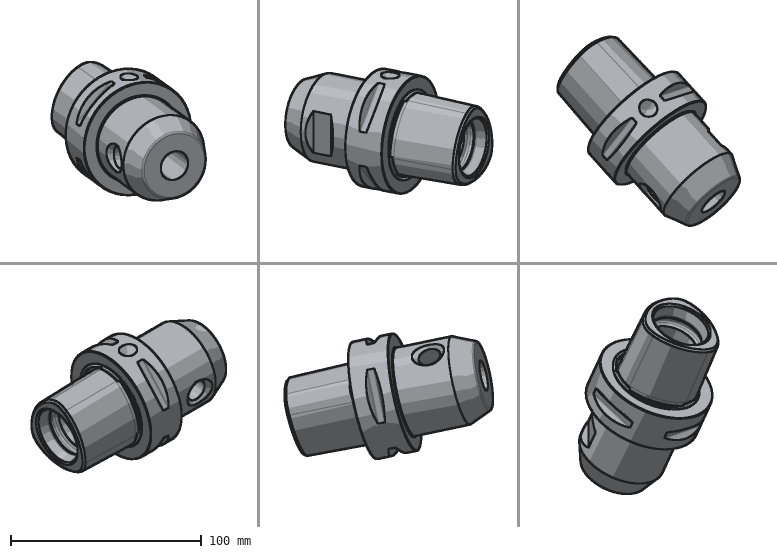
import math

import cadquery as cq


shank_length = 38.0
gauge_radius = 22.0
lobe_height = 1.5
radius_taper = 1 / 40
straight_length = 2.2
end_chamfer_length = 1.3
end_chamfer_depth = 1.0
lobe_half_angle = 27.4
lobe_count = 3
face_samples = 8
relief_radius = 22.5
relief_length = 1.1

flange_radius = 31.5
flange_width = 22.0
flange_chamfer = 0.3
face_groove_outer_radius = 24.3

groove_x = 12.0
groove_floor_distance = 28.0
groove_floor_width = 3.8
groove_flank_angle = 30.0
groove_corner_radius = 0.5
groove_angles = (45, 135, 225, 315)
dimple_radius = 4.95

nose_radius = 23.75
nose_length = 65.0
nose_cone_length = 12.4
nose_cone_angle = 23.0
nose_tip_round = 1.2
nose_root_step = 0.5

screw_x = 41.5
screw_hole_radius = 5.92
countersink_radius = 8.8
countersink_angle = 45.0
flat_floor_y = 20.65
flat_floor_length = 10.4

tool_bore_radius = 8.0
thread_bore_radius = 8.92
thread_chamfer = 0.98
thread_bore_length = 10.0
mouth_radius = 16.4
mouth_chamfer_length = 0.9
entry_radius = 15.35
clamp_lip_radius = 14.0
clamp_lip_start = 6.3
clamp_groove_radius = 16.0
clamp_lip_end = 7.4
clamp_lip_relief = 0.2
clamp_groove_start = 8.0
clamp_groove_end = 10.9
groove_round = 1.45
rear_cone_angle = 60.0
inner_bore_radius = 13.5
inner_bore_depth = 44.0


def revolve_x(outline):
    """Revolve a closed outline, drawn as (x, radius), about the X axis."""
    return outline.close().revolve(360, (0, 0, 0), (1, 0, 0))


def polygon_point(mean_radius, angle):
    """Point (y, z) of the polygon whose outward normal lies at an angle from +Z."""
    reach = mean_radius + lobe_height * math.cos(lobe_count * angle)
    slope = -lobe_count * lobe_height * math.sin(lobe_count * angle)
    y = reach * math.sin(angle) + slope * math.cos(angle)
    z = reach * math.cos(angle) - slope * math.sin(angle)
    return y, z


def polygon_face_edge(x, mean_radius, start, end):
    """Edge of one lobe or flank in the plane at x, between two normal directions in degrees."""
    points = []
    for i in range(face_samples + 1):
        angle = math.radians(start + (end - start) * i / face_samples)
        y, z = polygon_point(mean_radius, angle)
        points.append(cq.Vector(x, y, z))
    return cq.Edge.makeSpline(points)


def polygon_wire(x, mean_radius):
    pitch = 360 / lobe_count
    edges = []
    for i in range(lobe_count):
        middle = i * pitch
        lobe_end = middle + lobe_half_angle
        flank_end = middle + pitch - lobe_half_angle
        edges.append(polygon_face_edge(x, mean_radius, middle - lobe_half_angle, lobe_end))
        edges.append(polygon_face_edge(x, mean_radius, lobe_end, flank_end))
    return cq.Wire.assembleEdges(edges)


def polygon_frustum(x_start, radius_start, x_end, radius_end):
    wires = [polygon_wire(x_start, radius_start), polygon_wire(x_end, radius_end)]
    return cq.Workplane(cq.Solid.makeLoft(wires, True))


def make_shank():
    taper_start = end_chamfer_length - shank_length
    small_radius = gauge_radius + (taper_start + straight_length) * radius_taper
    tip_radius = small_radius - end_chamfer_depth
    tip = polygon_frustum(-shank_length, tip_radius, taper_start, small_radius)
    taper = polygon_frustum(taper_start, small_radius, -straight_length, gauge_radius)
    root = polygon_frustum(-straight_length, gauge_radius, flange_width / 2, gauge_radius)
    envelope_radius = relief_radius + straight_length - relief_length
    envelope = revolve_x(
        cq.Workplane("XY")
        .moveTo(-straight_length, 0)
        .lineTo(-straight_length, envelope_radius)
        .lineTo(-relief_length, relief_radius)
        .lineTo(flange_width / 2, relief_radius)
        .lineTo(flange_width / 2, 0)
    )
    return tip.union(taper).union(root.intersect(envelope))


def make_flange():
    flange = (
        cq.Workplane("YZ")
        .circle(flange_radius)
        .extrude(flange_width)
        .faces("<X or >X")
        .chamfer(flange_chamfer)
    )
    groove_depth = (face_groove_outer_radius - relief_radius) / 2
    groove = revolve_x(
        cq.Workplane("XY")
        .moveTo(0, relief_radius)
        .threePointArc((groove_depth, relief_radius + groove_depth), (0, face_groove_outer_radius))
    )
    return flange.cut(groove)


def make_nose():
    cone_start = nose_length - nose_cone_length
    tip_radius = nose_radius - nose_cone_length * math.tan(math.radians(nose_cone_angle))
    root_radius = nose_radius + nose_root_step
    nose = revolve_x(
        cq.Workplane("XY")
        .moveTo(flange_width / 2, 0)
        .lineTo(flange_width / 2, root_radius)
        .lineTo(flange_width, root_radius)
        .lineTo(flange_width + nose_root_step, nose_radius)
        .lineTo(cone_start, nose_radius)
        .lineTo(nose_length, tip_radius)
        .lineTo(nose_length, 0)
    )
    return nose.faces(">X").edges().fillet(nose_tip_round)


def gripper_groove(angle):
    """Straight trapezoidal groove across the flange rim, turned about X from +Z."""
    height = flange_radius - groove_floor_distance
    floor_half = groove_floor_width / 2
    mouth_half = floor_half + height * math.tan(math.radians(groove_flank_angle))
    groove = (
        cq.Workplane("XZ")
        .polyline(
            [
                (groove_x - floor_half, groove_floor_distance),
                (groove_x + floor_half, groove_floor_distance),
                (groove_x + mouth_half, flange_radius),
                (groove_x - mouth_half, flange_radius),
            ]
        )
        .close()
        .extrude(flange_radius, both=True)
        .faces("<Z")
        .edges("|Y")
        .fillet(groove_corner_radius)
    )
    return groove.rotate((0, 0, 0), (1, 0, 0), angle)


def orientation_dimple():
    """Right-angled conical dimple in the top of the flange rim."""
    depth = dimple_radius
    tip = cq.Vector(groove_x, 0, flange_radius - depth)
    cone = cq.Solid.makeCone(0, dimple_radius, depth, tip, cq.Vector(0, 0, 1))
    return cq.Workplane(cone)


def screw_hole():
    """Radial hole from the -Y side into the tool bore, countersunk at the nose surface."""
    surface = cq.Vector(screw_x, -nose_radius, 0)
    inward = cq.Vector(0, 1, 0)
    hole = cq.Solid.makeCylinder(screw_hole_radius, nose_radius, surface, inward)
    sink_depth = (countersink_radius - screw_hole_radius) / math.tan(math.radians(countersink_angle))
    sink = cq.Solid.makeCone(countersink_radius, screw_hole_radius, sink_depth, surface, inward)
    return cq.Workplane(hole).union(cq.Workplane(sink))


def nose_flat():
    """Flat with sloping ends across the +Y side of the nose."""
    depth = nose_radius - flat_floor_y
    floor_half = flat_floor_length / 2
    mouth_half = floor_half + depth
    return (
        cq.Workplane("XY")
        .polyline(
            [
                (screw_x - floor_half, flat_floor_y),
                (screw_x + floor_half, flat_floor_y),
                (screw_x + mouth_half, nose_radius),
                (screw_x - mouth_half, nose_radius),
            ]
        )
        .close()
        .extrude(nose_radius, both=True)
    )


def round_point(turn):
    """Point (depth, radius) on the round at the rear of the clamping groove, after a turn in radians."""
    depth = clamp_groove_end + groove_round * math.sin(turn)
    radius = clamp_groove_radius - groove_round * (1 - math.cos(turn))
    return depth, radius


def axial_bore():
    """Stepped bore running the whole length of the holder."""
    cone_angle = math.radians(rear_cone_angle)
    round_middle = round_point(cone_angle / 2)
    round_end = round_point(cone_angle)
    rear_cone_end = round_end[0] + (round_end[1] - inner_bore_radius) / math.tan(cone_angle)
    chamfer_end = inner_bore_depth + thread_chamfer
    thread_end = inner_bore_depth + thread_bore_length
    total_length = shank_length + nose_length
    bore = revolve_x(
        cq.Workplane("XY")
        .moveTo(0, 0)
        .lineTo(0, mouth_radius)
        .lineTo(mouth_chamfer_length, entry_radius)
        .lineTo(clamp_lip_start, clamp_lip_radius)
        .lineTo(clamp_lip_end, clamp_lip_radius)
        .lineTo(clamp_groove_start, clamp_lip_radius + clamp_lip_relief)
        .lineTo(clamp_groove_start, clamp_groove_radius)
        .lineTo(clamp_groove_end, clamp_groove_radius)
        .threePointArc(round_middle, round_end)
        .lineTo(rear_cone_end, inner_bore_radius)
        .lineTo(inner_bore_depth, inner_bore_radius)
        .lineTo(inner_bore_depth, thread_bore_radius + thread_chamfer)
        .lineTo(chamfer_end, thread_bore_radius)
        .lineTo(thread_end, thread_bore_radius)
        .lineTo(thread_end, tool_bore_radius)
        .lineTo(total_length, tool_bore_radius)
        .lineTo(total_length, 0)
    )
    return bore.translate((-shank_length, 0, 0))


holder = make_flange().union(make_shank()).union(make_nose())
for groove_angle in groove_angles:
    holder = holder.cut(gripper_groove(groove_angle))
holder = holder.cut(orientation_dimple())
holder = holder.cut(nose_flat())
holder = holder.cut(screw_hole())
result = holder.cut(axial_bore())